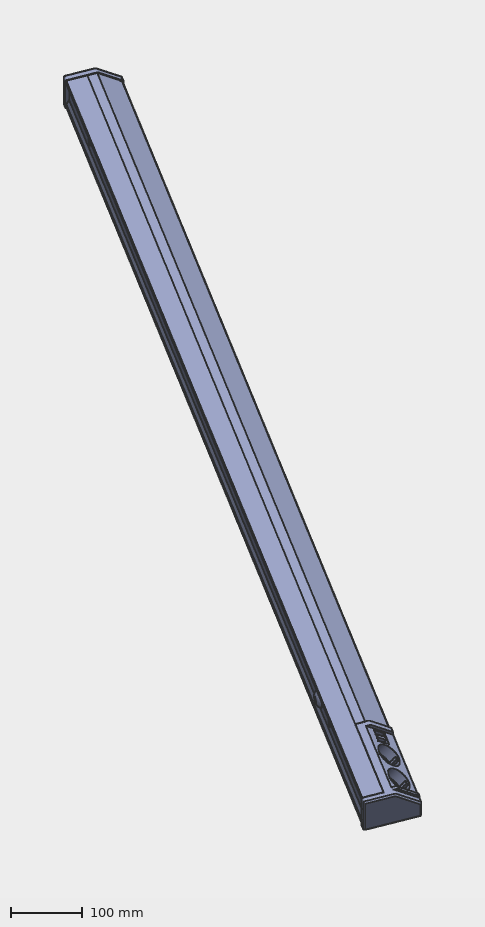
import cadquery as cq
import math

length = 1365.0
depth = 85.5
height = 63.5
slope_foot_z = 30.0
slope_top_y = 47.6
slope_angle = math.atan2(height - slope_foot_z, depth - slope_top_y)
cap_thickness = 10.0
cap_chamfer = 2.6
corner_radius = 3.0
cap_step = 1.65

channel_margin = 9.5
channel_wall_rise = 8.0
channel_depth = 4.0
channel_floor_y = cap_step + channel_depth

keyhole_xs = (101.0, 1191.0)
keyhole_head_diameter = 9.0
keyhole_slot_diameter = 5.0
keyhole_head_z = 35.0
keyhole_slot_drop = 7.5
keyhole_depth = 10.0

gland_x = 1145.0
gland_z = height / 2
gland_diameter = 26.0
gland_shoulder_diameter = 20.0
gland_shoulder_y = 1.8
gland_bore_diameter = 9.0
gland_bore_depth = 12.0

diffuser_front_y = 32.5
diffuser_thickness = 3.0
module_rise = 3.2
module_start_x = 1227.0
module_end_x = length - cap_thickness
panel_start_x = 1235.0
panel_end_x = 1350.0
panel_depth = 1.5

socket_diameter = 39.0
socket_xs = (1282.0, 1327.0)
socket_depth = 17.5
socket_centre_up = 2.0
earth_clip_width = 5.0
earth_clip_reach = 5.0
earth_clip_drop = 1.0
switch_x = 1248.0
switch_length = 20.0
switch_width = 21.0
switch_depth = 6.0
rocker_end_gap = 7.0
rocker_side_gap = 2.0


def cross_section(slope_rise=0.0):
    """Five-sided outline on the YZ plane, its slope moved outwards by slope_rise."""
    foot_z = slope_foot_z + slope_rise / math.cos(slope_angle)
    top_y = slope_top_y + slope_rise / math.sin(slope_angle)
    return cq.Workplane("YZ").polyline(
        [(0, 0), (depth, 0), (depth, foot_z), (top_y, height), (0, height)]
    ).close()


def bar(outline, start_x, end_x):
    return outline.extrude(end_x - start_x).translate((start_x, 0, 0))


def inner_profile(inset, start_x, end_x):
    """Bar with the cap outline shrunk by inset."""
    return bar(cross_section().offset2D(-inset), start_x, end_x)


def rounded_profile(slope_rise, start_x, end_x):
    """Bar with the full outline and rounded long edges."""
    return bar(cross_section(slope_rise), start_x, end_x).edges("|X").fillet(corner_radius)


def behind_front_edge(start_x, end_x):
    """Block that covers everything behind the front edge of the diffuser."""
    size_y = depth - diffuser_front_y
    return cq.Workplane("XY").box(end_x - start_x, size_y, height, centered=False).translate(
        (start_x, diffuser_front_y, 0)
    )


def make_cap(start_x, outer_face):
    return (
        rounded_profile(0, start_x, start_x + cap_thickness)
        .faces(outer_face)
        .edges()
        .chamfer(cap_chamfer)
    )


def make_diffuser():
    """Skin over the rear of the top face and the slope, up to the socket module."""
    skin = inner_profile(cap_step, cap_thickness, module_start_x).cut(
        inner_profile(cap_step + diffuser_thickness, cap_thickness, module_start_x)
    )
    above_slope_foot = behind_front_edge(cap_thickness, module_start_x).translate((0, 0, slope_foot_z))
    return skin.intersect(above_slope_foot)


def make_channel():
    floor_margin = channel_margin + channel_wall_rise
    return (
        cq.Workplane("YZ")
        .polyline([
            (cap_step, channel_margin),
            (channel_floor_y, floor_margin),
            (channel_floor_y, height - floor_margin),
            (cap_step, height - channel_margin),
        ])
        .close()
        .extrude(length - 2 * cap_thickness)
        .translate((cap_thickness, 0, 0))
    )


def make_keyhole(x):
    channel_floor = cq.Workplane("XZ", origin=(x, channel_floor_y, 0))
    slot_z = keyhole_head_z - keyhole_slot_drop
    head = channel_floor.center(0, keyhole_head_z).circle(keyhole_head_diameter / 2).extrude(-keyhole_depth)
    slot_end = channel_floor.center(0, slot_z).circle(keyhole_slot_diameter / 2).extrude(-keyhole_depth)
    slot = (
        channel_floor.center(0, (keyhole_head_z + slot_z) / 2)
        .rect(keyhole_slot_diameter, keyhole_slot_drop)
        .extrude(-keyhole_depth)
    )
    return head.union(slot).union(slot_end)


def make_gland():
    """Domed gland on the channel floor, reaching the front plane of the caps."""
    return (
        cq.Workplane("XY")
        .moveTo(0, channel_floor_y)
        .lineTo(gland_diameter / 2, channel_floor_y)
        .threePointArc((gland_shoulder_diameter / 2, gland_shoulder_y), (gland_bore_diameter / 2, 0))
        .lineTo(0, 0)
        .close()
        .revolve(360, (0, 0), (0, 1))
        .translate((gland_x, 0, gland_z))
    )


def make_gland_bore():
    return (
        cq.Workplane("XZ", origin=(gland_x, 0, gland_z))
        .circle(gland_bore_diameter / 2)
        .extrude(-gland_bore_depth)
    )


normal = (0, math.sin(slope_angle), math.cos(slope_angle))
panel_plane = cq.Plane(
    origin=(
        0,
        (depth + slope_top_y) / 2 - panel_depth * normal[1],
        (slope_foot_z + height) / 2 - panel_depth * normal[2],
    ),
    xDir=(1, 0, 0),
    normal=normal,
)


def on_panel(x):
    return cq.Workplane(panel_plane).center(x, -socket_centre_up)


def make_panel_recess():
    """Removes the outer layer of the slope over the length of the panel."""
    return (
        on_panel((panel_start_x + panel_end_x) / 2)
        .rect(panel_end_x - panel_start_x, 2 * depth)
        .extrude(depth)
    )


def make_socket(x):
    """Round recess with an earth clip left standing on its lower wall."""
    recess = on_panel(x).circle(socket_diameter / 2).extrude(-socket_depth)
    clip = (
        on_panel(x)
        .center(0, socket_diameter / 2)
        .rect(earth_clip_width, 2 * earth_clip_reach)
        .extrude(earth_clip_drop - socket_depth)
        .translate(panel_plane.zDir * -earth_clip_drop)
    )
    return recess.cut(clip)


def make_switch_recess():
    """Rectangular recess around a rocker that stays level with the panel."""
    opening = on_panel(switch_x).rect(switch_length, switch_width).extrude(-switch_depth)
    rocker = on_panel(switch_x).rect(
        switch_length - 2 * rocker_end_gap, switch_width - 2 * rocker_side_gap
    ).extrude(-switch_depth)
    return opening.cut(rocker)


diffuser = make_diffuser()

module = rounded_profile(module_rise, module_start_x, module_end_x).intersect(
    behind_front_edge(module_start_x, module_end_x)
)
module = module.cut(make_panel_recess())

housing = inner_profile(cap_step, cap_thickness, module_end_x)
housing = housing.cut(make_panel_recess()).cut(diffuser).union(module).cut(make_channel())
housing = housing.union(make_gland()).cut(make_gland_bore()).cut(make_switch_recess())
housing = housing.union(make_cap(0, "<X")).union(make_cap(module_end_x, ">X"))
for keyhole_x in keyhole_xs:
    housing = housing.cut(make_keyhole(keyhole_x))
for socket_x in socket_xs:
    housing = housing.cut(make_socket(socket_x))

result = cq.Compound.makeCompound([housing.val(), diffuser.val()])